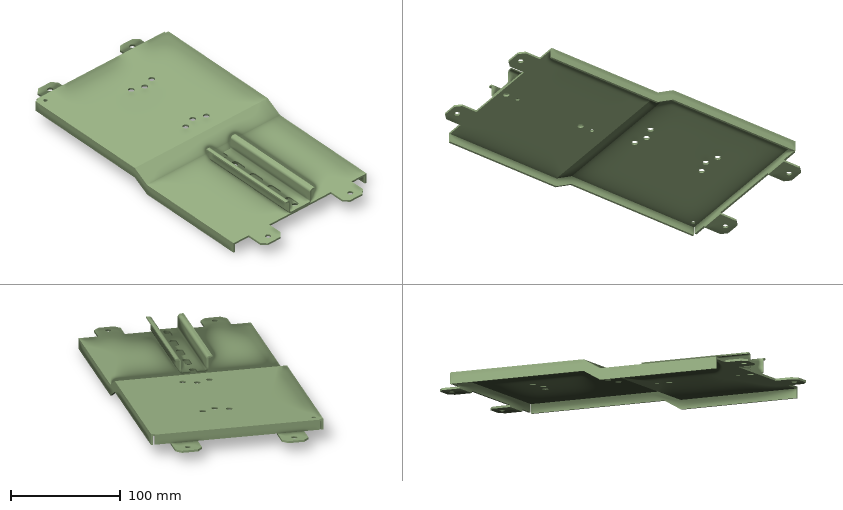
import cadquery as cq


TRAY_WIDTH = 161.5
SHEET = 2.0
TRAY_LENGTH = 274.3
STEP_START = 1.3
STEP_END = 18.3
STEP_HEIGHT = 9.8
SKIRT_HEIGHT = 10.7
CORNER_NOTCH = 3.2

TRAY_RIGHT = TRAY_LENGTH / 2
TRAY_LEFT = -TRAY_RIGHT

TAB_END = 158.0
TAB_WIDTH = 25.0
TAB_OFFSET = 50.0
TAB_CHAMFER = 5.0
TAB_HOLE_DIAMETER = 5.5
TAB_HOLE_X = 149.8

PATTERN_X = -53.0
PATTERN_BACK_Y = 21.2
OUTER_HOLE_SPACING = 75.0
INNER_HOLE_SPACING = 66.0
HOLE_ROW_SPAN = 25.0
PATTERN_HOLE_DIAMETER = 6.0
CORNER_HOLE_X = -130.2
CORNER_HOLE_Y = -73.0
CORNER_HOLE_DIAMETER = 3.8

RAIL_HOLE_SPACING = 83.0
LARGE_RAIL_HOLE_X = 47.5
LARGE_RAIL_HOLE_DIAMETER = 6.0
SMALL_RAIL_HOLE_X = 34.8
SMALL_RAIL_HOLE_DIAMETER = 3.8

RAIL_START = 28.0
RAIL_HEIGHT = 15.2
RAIL_WIDTH = 35.0
RAIL_CHANNEL_WIDTH = 27.2
RAIL_THICKNESS = 1.5
RAIL_BEND = 1.42
SLOT_LENGTH = 15.5
SLOT_WIDTH = 6.3
SLOT_PITCH = 24.3
FIRST_SLOT_X = 28.0
SLOT_COUNT = 5


def extrude_along_y(points, y_min, width):
    """Extrude an X-Z outline from y_min towards +Y."""
    return cq.Workplane("XZ", origin=(0, y_min, 0)).polyline(points).close().extrude(-width)


def stepped_outline(x_start, depth):
    """Outline that follows the stepped deck and reaches the given depth straight below it."""
    top = [(x_start, STEP_HEIGHT), (STEP_START, STEP_HEIGHT), (STEP_END, 0), (TRAY_RIGHT, 0)]
    bottom = [(x, z - depth) for x, z in reversed(top)]
    return top + bottom


def drill(body, points, diameter):
    """Drill vertical through holes at the given X-Y points."""
    tools = (
        cq.Workplane("XY", origin=(0, 0, -SHEET))
        .pushPoints(points)
        .circle(diameter / 2)
        .extrude(STEP_HEIGHT + SHEET)
    )
    return body.cut(tools)


def make_tab(x_root, x_end, y):
    """Flat tab level with the lower deck, with its two outer corners chamfered."""
    outer_face = ">X" if x_end > x_root else "<X"
    return (
        cq.Workplane("XY", origin=((x_root + x_end) / 2, y, -SHEET))
        .rect(abs(x_end - x_root), TAB_WIDTH)
        .extrude(SHEET)
        .faces(outer_face)
        .edges("|Z")
        .chamfer(TAB_CHAMFER)
    )


def make_tray():
    half_width = TRAY_WIDTH / 2
    skirt_start = TRAY_LEFT + SHEET

    tray = extrude_along_y(stepped_outline(skirt_start, SHEET), -half_width, TRAY_WIDTH)

    for y_min in (-half_width, half_width - SHEET):
        tray = tray.union(extrude_along_y(stepped_outline(skirt_start, SKIRT_HEIGHT), y_min, SHEET))

    flange_width = TRAY_WIDTH - 2 * CORNER_NOTCH
    flange_outline = [
        (TRAY_LEFT, 0),
        (TRAY_LEFT, STEP_HEIGHT),
        (skirt_start, STEP_HEIGHT),
        (skirt_start, 0),
    ]
    tray = tray.union(extrude_along_y(flange_outline, -flange_width / 2, flange_width))

    for y in (-TAB_OFFSET, TAB_OFFSET):
        tray = tray.union(make_tab(TRAY_LEFT + SHEET, -TAB_END, y))
        tray = tray.union(make_tab(TRAY_RIGHT, TAB_END, y))
    tab_holes = [(x, y) for x in (-TAB_HOLE_X, TAB_HOLE_X) for y in (-TAB_OFFSET, TAB_OFFSET)]
    tray = drill(tray, tab_holes, TAB_HOLE_DIAMETER)

    pattern_holes = []
    for side in (-1, 1):
        outer_x = PATTERN_X + side * OUTER_HOLE_SPACING / 2
        inner_x = PATTERN_X + side * INNER_HOLE_SPACING / 2
        pattern_holes += [
            (outer_x, PATTERN_BACK_Y - HOLE_ROW_SPAN),
            (inner_x, PATTERN_BACK_Y - HOLE_ROW_SPAN / 2),
            (outer_x, PATTERN_BACK_Y),
        ]
    tray = drill(tray, pattern_holes, PATTERN_HOLE_DIAMETER)
    tray = drill(tray, [(CORNER_HOLE_X, CORNER_HOLE_Y)], CORNER_HOLE_DIAMETER)

    for first_x, diameter in (
        (LARGE_RAIL_HOLE_X, LARGE_RAIL_HOLE_DIAMETER),
        (SMALL_RAIL_HOLE_X, SMALL_RAIL_HOLE_DIAMETER),
    ):
        tray = drill(tray, [(first_x, 0), (first_x + RAIL_HOLE_SPACING, 0)], diameter)
    return tray


def make_rail():
    length = TRAY_RIGHT - RAIL_START
    lip_end = RAIL_WIDTH / 2
    wall_outer = RAIL_CHANNEL_WIDTH / 2
    wall_inner = wall_outer - RAIL_THICKNESS
    lip_bottom = RAIL_HEIGHT - RAIL_THICKNESS

    right_half = [
        (wall_outer, 0),
        (wall_outer, lip_bottom),
        (lip_end, lip_bottom),
        (lip_end, RAIL_HEIGHT),
        (wall_inner, RAIL_HEIGHT),
        (wall_inner, RAIL_THICKNESS),
    ]
    left_half = [(-y, z) for y, z in reversed(right_half)]
    rail = (
        cq.Workplane("YZ", origin=(RAIL_START, 0, 0))
        .polyline(right_half + left_half)
        .close()
        .extrude(length)
    )

    inner_bends = [(wall_outer, lip_bottom), (wall_inner, RAIL_THICKNESS)]
    outer_bends = [(wall_outer, 0), (wall_inner, RAIL_HEIGHT)]
    for bends, radius in ((inner_bends, RAIL_BEND), (outer_bends, RAIL_BEND + RAIL_THICKNESS)):
        points = [(RAIL_START + length / 2, side * y, z) for y, z in bends for side in (-1, 1)]
        for point in points:
            rail = rail.edges(cq.selectors.NearestToPointSelector(point)).fillet(radius)

    slot_places = [(FIRST_SLOT_X + i * SLOT_PITCH, 0) for i in range(SLOT_COUNT)]
    slots = (
        cq.Workplane("XY")
        .pushPoints(slot_places)
        .slot2D(SLOT_LENGTH, SLOT_WIDTH)
        .extrude(RAIL_THICKNESS)
    )
    return rail.cut(slots)


tray = make_tray()
rail = make_rail()

result = cq.Compound.makeCompound([tray.val(), rail.val()])